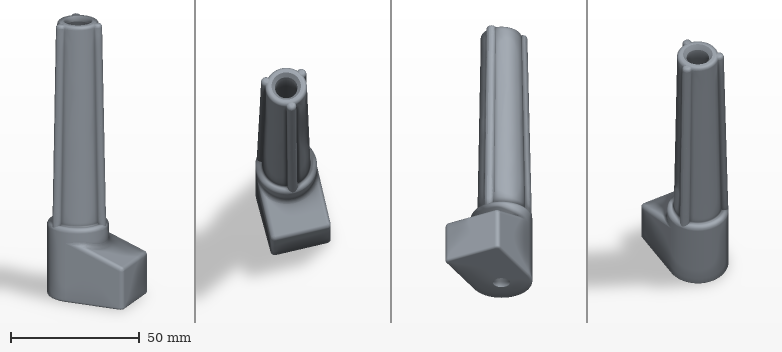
import cadquery as cq
import math

base_width = 24.0
base_length = 36.5
base_radius = base_width / 2
base_height = 30.3
shoulder_fillet = 1.8
bottom_fillet = 0.9
ear_end_x = base_length - base_radius
ear_end_height = 17.1
ear_slope = 20.0
ear_fillet = 1.7
ear_root_fillet = 1.8

total_height = 111.8
tube_bottom_radius = 9.4
tube_top_radius = 8.0
tube_root_fillet = 0.6
tube_rim_fillet = 1.3

bore_bottom_radius = 3.4
bore_top_radius = 4.4
mouth_radius = 5.7
mouth_depth = 1.8

rib_count = 3
rib_radius = 1.9
rib_start_height = 27.9
rib_bottom_offset = 10.0
rib_top_offset = 8.2
rib_tip_fillet = 1.2


def make_handle():
    """Round post and tapered tube turned together, with their ring edges rounded."""
    handle = (
        cq.Workplane("XZ")
        .moveTo(0, 0)
        .lineTo(-base_radius, 0)
        .lineTo(-base_radius, base_height)
        .lineTo(-tube_bottom_radius, base_height)
        .lineTo(-tube_top_radius, total_height)
        .lineTo(0, total_height)
        .close()
        .revolve(360, (0, 0), (0, 1))
    )
    handle = handle.faces(">Z").edges().fillet(tube_rim_fillet)
    shoulder_rings = handle.faces("|Z").faces(">Z[1]").edges("%CIRCLE")
    root_ring = shoulder_rings.edges(cq.selectors.RadiusNthSelector(0))
    handle = root_ring.fillet(tube_root_fillet)
    shoulder_rings = handle.faces("|Z").faces(">Z[1]").edges("%CIRCLE")
    outer_ring = shoulder_rings.edges(cq.selectors.RadiusNthSelector(-1))
    return outer_ring.fillet(shoulder_fillet)


def make_ear():
    height_at_axis = ear_end_height + ear_end_x * math.tan(math.radians(ear_slope))
    ear = (
        cq.Workplane("XZ")
        .moveTo(0, 0)
        .lineTo(ear_end_x, 0)
        .lineTo(ear_end_x, ear_end_height)
        .lineTo(0, height_at_axis)
        .close()
        .extrude(base_radius, both=True)
    )
    ear = ear.edges("|Z and >X").fillet(ear_fillet)
    slope_angle = math.radians(ear_slope)
    slope_direction = cq.Vector(math.sin(slope_angle), 0, math.cos(slope_angle))
    sloped_top = ear.faces(cq.selectors.DirectionMinMaxSelector(slope_direction))
    return sloped_top.edges("not <X").fillet(ear_fillet)


def make_base():
    """Post and ear blended together along the edge where the sloped top meets the post."""
    post_height = base_height - shoulder_fillet
    post = cq.Workplane("XY").circle(base_radius).extrude(post_height).rotate((0, 0, 0), (0, 0, 1), 180)
    base = post.union(make_ear())
    ear_root = cq.selectors.BoxSelector(
        (0, -base_radius, ear_end_height),
        (base_radius, base_radius, post_height),
    )
    return base.edges(ear_root).edges("%ELLIPSE").fillet(ear_root_fillet)


def make_rib(angle):
    rib = (
        cq.Workplane("XY", origin=(rib_bottom_offset, 0, rib_start_height))
        .circle(rib_radius)
        .workplane(offset=total_height - rib_start_height)
        .center(rib_top_offset - rib_bottom_offset, 0)
        .circle(rib_radius)
        .loft(ruled=True)
    )
    rib = rib.faces(">Z").edges().fillet(rib_tip_fillet)
    return rib.rotate((0, 0, 0), (0, 0, 1), angle)


def make_bore():
    return (
        cq.Workplane("XZ")
        .moveTo(0, 0)
        .lineTo(bore_bottom_radius, 0)
        .lineTo(bore_top_radius, total_height - mouth_depth)
        .lineTo(mouth_radius, total_height)
        .lineTo(0, total_height)
        .close()
        .revolve(360, (0, 0), (0, 1))
    )


result = make_base().union(make_handle())
result = result.faces("<Z").edges().fillet(bottom_fillet)
for rib_index in range(rib_count):
    result = result.union(make_rib(rib_index * 360 / rib_count))
result = result.cut(make_bore())